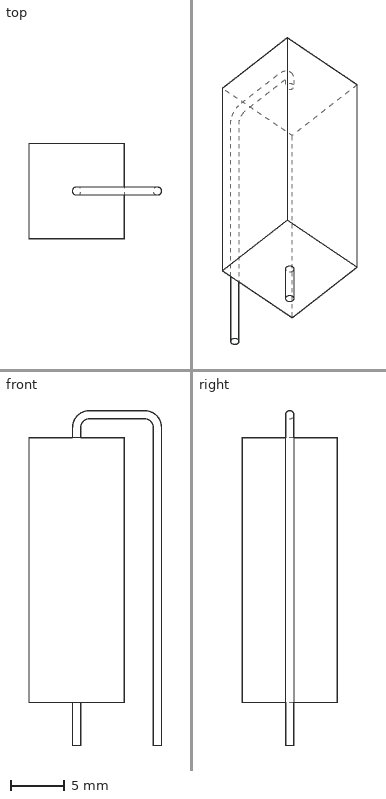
import cadquery as cq

total_height = 31.6
body_side = 9.0
body_height = 25.0
lead_length_below_body = 4.05
wire_diameter = 0.8
lead_pitch = 7.6
bend_radius = 1.2

wire_radius = wire_diameter / 2
top_run_z = total_height - wire_radius
bend_start_z = top_run_z - bend_radius


def make_body():
    """Square block standing above the lead ends."""
    return (
        cq.Workplane("XY")
        .workplane(offset=lead_length_below_body)
        .rect(body_side, body_side)
        .extrude(body_height)
    )


def make_wire():
    """Wire up the body axis, bent over the top and down beside the body."""
    path = (
        cq.Workplane("XZ")
        .moveTo(0, 0)
        .lineTo(0, bend_start_z)
        .radiusArc((bend_radius, top_run_z), bend_radius)
        .lineTo(lead_pitch - bend_radius, top_run_z)
        .radiusArc((lead_pitch, bend_start_z), bend_radius)
        .lineTo(lead_pitch, 0)
    )
    return cq.Workplane("XY").circle(wire_radius).sweep(path)


result = make_body().union(make_wire())